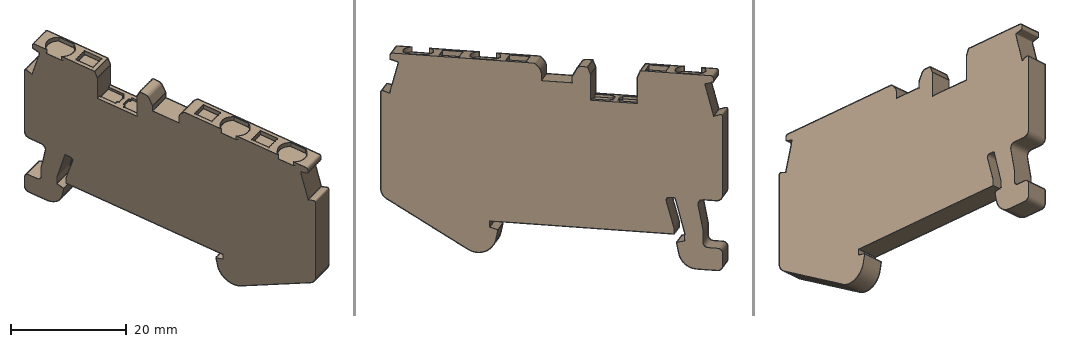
import cadquery as cq
import math

length = 60.7
thickness = 4.1
height = 35.4

lip_inset = 1.65
lip_bottom_z = 34.25
neck_inset = 3.15
neck_top_z = 33.8
ledge_inset = 1.6
ledge_z = 28.05
shoulder_z = 28.6
shoulder_radius = 0.35
lip_under_radius = 0.2
lip_top_radius = 0.5

wire_notch_left = 15.2
wire_notch_right = 23.4
wire_notch_floor = 29.4
wire_notch_lead_in = 0.55
lead_in_z = 34.1
label_notch_left = 26.7
label_notch_right = 32.2
label_notch_floor = 32.3
peg_slope_x = 25.7
peg_slope_z = 33.5
peg_radius = 1.05
crest_slope_x = 33.3
crest_slope_z = 34.25
crest_side_radius = 1.8
crest_top_radius = 0.55

seat_z = 6.1
seat_left = 8.6
jaw_root_left = 6.75
jaw_root_right = 41.35
jaw_root_z = 5.0
jaw_tip_reach = 1.45
jaw_tip_z = 4.6
jaw_radius = 3.35
foot_jaw_lean = 0.9
fixed_jaw_corner_drop = 1.65
fixed_jaw_lean = 1.3
slope_top_z = 9.4
slope_radius = 2.1

body_bottom_z = 12.7
leg_outer_top = 4.55
leg_outer_bottom = 3.45
leg_bend_z = 7.1
foot_top_z = 4.05
slot_top_left = 8.45
slot_top_right = 10.2
slot_left_bend_z = 6.4
slot_right_bend_z = 7.15
slot_left_radius = 0.3
slot_right_radius = 0.55
foot_radius = 0.9
body_bottom_radius = 1.1

recess_depth = 0.9
recess_pitch = 11.9
end_driver_center = 6.2
driver_to_entry = 5.8
driver_flat = 3.05
driver_length = 5.35
driver_width = 3.8
entry_length = 3.6
entry_width = 2.75

pocket_depth = 0.5
pocket_gap = 0.9
pocket_step = 0.35
pocket_step_width = 1.65


def rounded_outline(corners):
    """Closed XZ wire through (x, z, radius) corners, each rounded by its radius."""
    outline = None
    for i, (x, z, radius) in enumerate(corners):
        before = cq.Vector(*corners[i - 1][:2])
        after = cq.Vector(*corners[(i + 1) % len(corners)][:2])
        corner = cq.Vector(x, z)
        to_before = (before - corner).normalized()
        to_after = (after - corner).normalized()
        half_angle = to_before.getAngle(to_after) / 2
        setback = radius / math.tan(half_angle)
        start = corner + to_before * setback
        end = corner + to_after * setback
        if outline is None:
            outline = cq.Workplane("XZ").moveTo(start.x, start.y)
        else:
            outline = outline.lineTo(start.x, start.y)
        if radius > 0:
            bisector = (to_before + to_after).normalized()
            middle = corner + bisector * (radius / math.sin(half_angle) - radius)
            outline = outline.threePointArc((middle.x, middle.y), (end.x, end.y))
    return outline.close()


def make_body():
    left_end = [
        (0, shoulder_z, shoulder_radius),
        (ledge_inset, ledge_z, 0),
        (neck_inset, neck_top_z, lip_under_radius),
        (lip_inset, lip_bottom_z, lip_under_radius),
        (lip_inset, height, lip_top_radius),
    ]
    right_end = [(length - x, z, radius) for x, z, radius in reversed(left_end)]
    top_edge = [
        (wire_notch_left - wire_notch_lead_in, height, 0),
        (wire_notch_left, lead_in_z, 0),
        (wire_notch_left, wire_notch_floor, 0),
        (wire_notch_right, wire_notch_floor, 0),
        (wire_notch_right, lead_in_z, 0),
        (wire_notch_right + wire_notch_lead_in, height, 0),
        (peg_slope_x, height, peg_radius),
        (label_notch_left, peg_slope_z, 0),
        (label_notch_left, label_notch_floor, 0),
        (label_notch_right, label_notch_floor, 0),
        (label_notch_right, crest_slope_z, crest_side_radius),
        (crest_slope_x, height, crest_top_radius),
    ]
    fixed_jaw_tip = jaw_root_right - jaw_tip_reach
    fixed_jaw = [
        (length, slope_top_z, slope_radius),
        (fixed_jaw_tip + fixed_jaw_lean, -fixed_jaw_corner_drop, jaw_radius),
        (fixed_jaw_tip, jaw_tip_z, 0),
        (jaw_root_right, jaw_root_z, 0),
        (jaw_root_right, seat_z, 0),
    ]
    slot = [
        (seat_left, seat_z, 0),
        (seat_left, slot_right_bend_z, 0),
        (slot_top_right, body_bottom_z, slot_right_radius),
        (slot_top_left, body_bottom_z, slot_left_radius),
        (jaw_root_left, slot_left_bend_z, 0),
    ]
    foot_tip = jaw_root_left + jaw_tip_reach
    foot = [
        (jaw_root_left, jaw_root_z, 0),
        (foot_tip, jaw_tip_z, 0),
        (foot_tip - foot_jaw_lean, 0, jaw_radius),
        (0, 0, foot_radius),
        (0, foot_top_z, foot_radius),
        (leg_outer_bottom, foot_top_z, foot_radius),
        (leg_outer_bottom, leg_bend_z, 0),
        (leg_outer_top, body_bottom_z, foot_radius),
        (0, body_bottom_z, body_bottom_radius),
    ]
    corners = left_end + top_edge + right_end + fixed_jaw + slot + foot
    return rounded_outline(corners).extrude(-thickness)


def driver_recess(center_x):
    """Screwdriver recess with bowed ends, open to the face at Y = 0."""
    half_flat = driver_flat / 2
    half_length = driver_length / 2
    middle_y = driver_width / 2
    return (
        cq.Workplane("XY", origin=(center_x, 0, height - recess_depth))
        .moveTo(-half_flat, 0)
        .lineTo(half_flat, 0)
        .threePointArc((half_length, middle_y), (half_flat, driver_width))
        .lineTo(-half_flat, driver_width)
        .threePointArc((-half_length, middle_y), (-half_flat, 0))
        .close()
        .extrude(recess_depth)
    )


def block(x_min, x_max, width, top_z, depth):
    """Block reaching depth below top_z, centred in the thickness."""
    return cq.Workplane("XY").box(x_max - x_min, width, depth).translate(
        ((x_min + x_max) / 2, thickness / 2, top_z - depth / 2)
    )


def entry_recess(center_x):
    half = entry_length / 2
    return block(center_x - half, center_x + half, entry_width, height, recess_depth)


def stepped_pocket(wall_x, step_x, tip_x):
    """Pocket in the notch floor from wall_x, narrowing at step_x and ending at tip_x."""
    wide = block(min(wall_x, step_x), max(wall_x, step_x), entry_width, wire_notch_floor, pocket_depth)
    narrow = block(min(wall_x, tip_x), max(wall_x, tip_x), pocket_step_width, wire_notch_floor, pocket_depth)
    return wide.union(narrow)


def notch_pockets():
    """Two facing pockets, mirrored about the middle of the wiring notch."""
    middle = (wire_notch_left + wire_notch_right) / 2
    left_tip = middle - pocket_gap / 2
    right_tip = middle + pocket_gap / 2
    left_pocket = stepped_pocket(wire_notch_left, left_tip - pocket_step, left_tip)
    right_pocket = stepped_pocket(wire_notch_right, right_tip + pocket_step, right_tip)
    return left_pocket.union(right_pocket)


last_driver_center = length - end_driver_center
middle_driver_center = last_driver_center - recess_pitch
driver_and_entry_centers = [
    (end_driver_center, end_driver_center + driver_to_entry),
    (middle_driver_center, middle_driver_center - driver_to_entry),
    (last_driver_center, last_driver_center - driver_to_entry),
]

result = make_body().cut(notch_pockets())
for driver_x, entry_x in driver_and_entry_centers:
    result = result.cut(driver_recess(driver_x)).cut(entry_recess(entry_x))